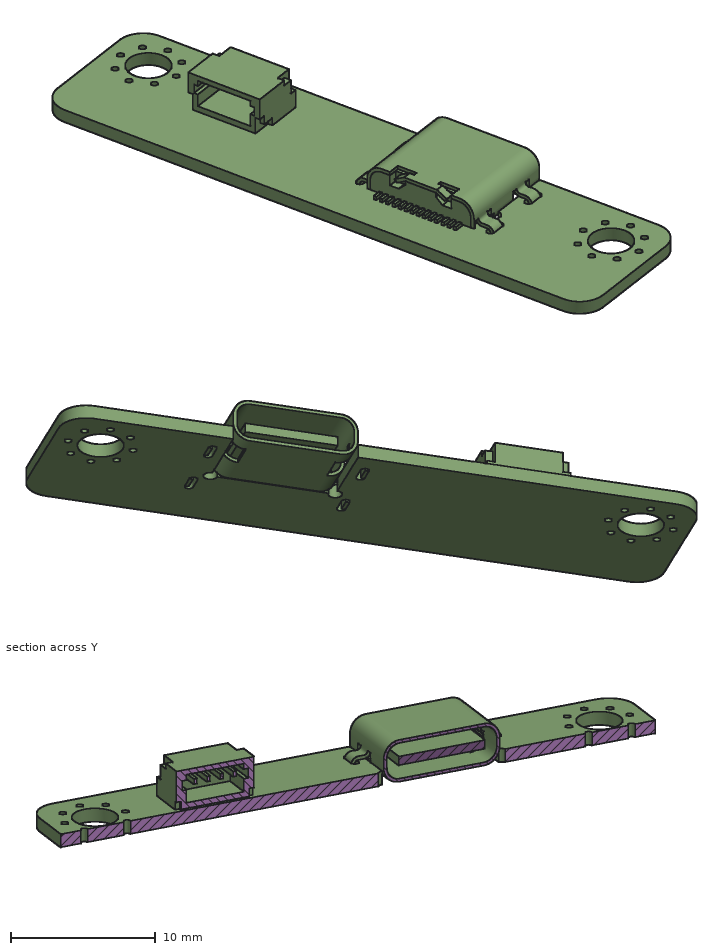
import cadquery as cq
import math

BOARD_LENGTH = 46
BOARD_WIDTH = 11.5
BOARD_THICKNESS = 1.0
BOARD_CORNER_RADIUS = 2.0
BOARD_BACK_Y = BOARD_WIDTH / 2

MOUNT_X = 19.5
MOUNT_Y = 2.2
MOUNT_DIAMETER = 3.2
VIA_COUNT = 8
VIA_DIAMETER = 0.5
VIA_RING_RADIUS = 2.35

USB_X = 6.5
USB_WIDTH = 9.0
USB_LENGTH = 7.9
USB_TOP_Z = 3.2
USB_RADIUS = 1.25
USB_SIDE_HEIGHT = 0.7
USB_HEIGHT = 2 * USB_RADIUS + USB_SIDE_HEIGHT
USB_FRONT_Y = BOARD_BACK_Y - USB_LENGTH
USB_OVERHANG_Z = BOARD_THICKNESS + 0.15
SHEET = 0.28

CUTOUT_DEPTH = 5.47
CUTOUT_FRONT_Y = BOARD_BACK_Y - CUTOUT_DEPTH
RELIEF_DIAMETER = 0.95

LEG_SETBACKS = (2.2, 6.8)
LEG_WIDTH = 1.05
LEG_REACH = 1.3
LEG_TOP_Z = BOARD_THICKNESS + 0.4
LEG_BEND_RADIUS = 0.6
LEG_ROOT_RADIUS = 0.28
SLOT_WIDTH = 0.6
SLOT_LENGTH = LEG_WIDTH + SLOT_WIDTH
LEG_WINDOW_WIDTH = 1.95
LEG_WINDOW_TOP_Z = LEG_TOP_Z + LEG_ROOT_RADIUS

WINDOW_INNER = 1.0
WINDOW_OUTER = 2.58
WINDOW_DEPTH = 0.95
TAB_WIDTH = 0.7
TAB_BEND = 1.4
TAB_UNDERSIDE_BEND = 1.3
TAB_TIP = 2.2
TAB_TIP_Z = 2.75
TAB_UNDERSIDE_TIP = 2.02
TAB_UNDERSIDE_TIP_Z = 2.55
POCKET_SLOPE_TOP_Z = 2.6
POCKET_FLOOR_Z = 2.1
POCKET_FLOOR_INNER = 1.85

TONGUE_WIDTH = 6.65
TONGUE_THICKNESS = 0.7
TONGUE_SETBACK = 1.0

CONTACT_PITCH = 0.5
INNER_CONTACTS_PER_SIDE = 4
OUTER_CONTACTS_PER_SIDE = 3
FIRST_OUTER_CONTACT = 2.35
CONTACT_WIDTH = 0.25
CONTACT_REACH = 0.7
CONTACT_ROOT = 0.28
CONTACT_HEIGHT = 0.28

WIRE_X = -11.05
WIRE_WIDTH = 6.03
WIRE_DEPTH = 4.32
WIRE_BACK_Y = 3.55
WIRE_FRONT_Y = WIRE_BACK_Y - WIRE_DEPTH
WIRE_TOP_Z = 4.05
WIRE_FLOOR_Z = BOARD_THICKNESS + 0.1
MOUTH_WIDTH = 4.4
MOUTH_HEIGHT = 2.05
MOUTH_FLOOR_Z = BOARD_THICKNESS + 0.55
MOUTH_DEPTH = 3.45
GROOVE_DEPTH = 0.3
GROOVE_HEIGHT = 0.7
GROOVE_FLOOR_Z = BOARD_THICKNESS + 1.5

NOTCH_STEP_Y = 0.55
UPPER_NOTCH_WIDTH = 0.55
UPPER_NOTCH_LENGTH = 1.4
UPPER_NOTCH_SHALLOW = 0.4
UPPER_NOTCH_DEEP = 1.5
LOWER_NOTCH_WIDTH = 0.35
LOWER_NOTCH_LENGTH = 1.5
LOWER_NOTCH_SHALLOW = 0.7
LOWER_NOTCH_DEEP = 1.4

PIN_COUNT = 4
PIN_PITCH = 1.0
PIN_WIDTH = 0.255
PIN_HEIGHT = 0.4
PIN_FLOOR_Z = 2.8
PIN_LENGTH = 2.3
TAIL_REACH = 0.65


def block(x_range, y_range, z_range):
    """A box spanning the given (start, end) pairs along X, Y and Z."""
    spans = [sorted(pair) for pair in (x_range, y_range, z_range)]
    sizes = [high - low for low, high in spans]
    return cq.Workplane("XY").box(*sizes, centered=False).translate([low for low, high in spans])


def around(center, size):
    """The (start, end) pair of a span centred on a value."""
    return center - size / 2, center + size / 2


def extrude_along_y(outline, back_y, length):
    """Extrude an XZ outline from back_y toward -Y."""
    return outline.extrude(length).translate((0, back_y, 0))


def xz_polygon(points):
    return cq.Workplane("XZ").polyline(points).close()


def leg_slots():
    centers = [
        (USB_X + side * (USB_WIDTH / 2 + LEG_REACH - SLOT_WIDTH / 2), BOARD_BACK_Y - setback)
        for side in (-1, 1)
        for setback in LEG_SETBACKS
    ]
    slots = cq.Workplane("XY").pushPoints(centers).slot2D(SLOT_LENGTH, SLOT_WIDTH, 90)
    return slots.extrude(BOARD_THICKNESS)


def usb_cutout():
    opening = block(around(USB_X, USB_WIDTH), (CUTOUT_FRONT_Y, BOARD_BACK_Y), (0, BOARD_THICKNESS))
    corners = [(x, CUTOUT_FRONT_Y) for x in around(USB_X, USB_WIDTH)]
    reliefs = cq.Workplane("XY").pushPoints(corners).circle(RELIEF_DIAMETER / 2)
    return opening.union(reliefs.extrude(BOARD_THICKNESS))


def mount_holes():
    mounts = [(x, MOUNT_Y) for x in (-MOUNT_X, MOUNT_X)]
    angles = [2 * math.pi * i / VIA_COUNT for i in range(VIA_COUNT)]
    vias = [
        (x + VIA_RING_RADIUS * math.cos(angle), y + VIA_RING_RADIUS * math.sin(angle))
        for x, y in mounts
        for angle in angles
    ]
    holes = cq.Workplane("XY").pushPoints(mounts).circle(MOUNT_DIAMETER / 2).extrude(BOARD_THICKNESS)
    return holes.union(cq.Workplane("XY").pushPoints(vias).circle(VIA_DIAMETER / 2).extrude(BOARD_THICKNESS))


def make_board():
    blank = cq.Workplane("XY").rect(BOARD_LENGTH, BOARD_WIDTH).extrude(BOARD_THICKNESS)
    blank = blank.edges("|Z").fillet(BOARD_CORNER_RADIUS)
    return blank.cut(mount_holes()).cut(usb_cutout()).cut(leg_slots())


def usb_profile_body(inset):
    """The rounded USB profile shrunk by an inset, without the part that would meet the board."""
    outline = (
        cq.Workplane("XZ")
        .center(USB_X, USB_TOP_Z - USB_HEIGHT / 2)
        .rect(USB_WIDTH - 2 * inset, USB_HEIGHT - 2 * inset)
    )
    body = extrude_along_y(outline, BOARD_BACK_Y, USB_LENGTH)
    body = body.edges("|Y").fillet(USB_RADIUS - inset)
    below_overhang = block(around(USB_X, USB_WIDTH), (USB_FRONT_Y, CUTOUT_FRONT_Y), (0, USB_OVERHANG_Z))
    return body.cut(below_overhang)


def leg(side, center_y):
    """A sheet-metal leg that runs out from the shell wall and bends down into its slot."""
    wall = side * USB_WIDTH / 2
    root = wall - side * SHEET
    tip = wall + side * LEG_REACH
    bend_center = (tip - side * LEG_BEND_RADIUS, LEG_TOP_Z - LEG_BEND_RADIUS)
    root_center = (wall + side * LEG_ROOT_RADIUS, LEG_WINDOW_TOP_Z)
    diagonal = math.sqrt(0.5)

    def on_bend(radius):
        offset = radius * diagonal
        return bend_center[0] + side * offset, bend_center[1] + offset

    def on_root(radius):
        offset = radius * diagonal
        return root_center[0] - side * offset, root_center[1] - offset

    outline = (
        cq.Workplane("XZ")
        .moveTo(root, root_center[1])
        .threePointArc(on_root(LEG_ROOT_RADIUS + SHEET), (root_center[0], LEG_TOP_Z - SHEET))
        .lineTo(bend_center[0], LEG_TOP_Z - SHEET)
        .threePointArc(on_bend(LEG_BEND_RADIUS - SHEET), (tip - side * SHEET, bend_center[1]))
        .lineTo(tip - side * SHEET, 0)
        .lineTo(tip, 0)
        .lineTo(tip, bend_center[1])
        .threePointArc(on_bend(LEG_BEND_RADIUS), (bend_center[0], LEG_TOP_Z))
        .lineTo(root_center[0], LEG_TOP_Z)
        .threePointArc(on_root(LEG_ROOT_RADIUS), (wall, root_center[1]))
        .close()
    )
    return extrude_along_y(outline, center_y + LEG_WIDTH / 2, LEG_WIDTH).translate((USB_X, 0, 0))


def leg_window(side, center_y):
    """The opening left in the lower side wall where a leg was bent out."""
    wall = USB_X + side * USB_WIDTH / 2
    return block((wall, wall - side * LEG_REACH), around(center_y, LEG_WINDOW_WIDTH), (0, LEG_WINDOW_TOP_Z))


def roof_window(side):
    x_range = (USB_X + side * WINDOW_INNER, USB_X + side * WINDOW_OUTER)
    return block(x_range, (USB_FRONT_Y, USB_FRONT_Y + WINDOW_DEPTH), (USB_TOP_Z - SHEET, USB_TOP_Z))


def spring_tab(side):
    """The strip bent down from the inner edge of a roof window."""
    outline = xz_polygon([
        (USB_X + side * WINDOW_INNER, USB_TOP_Z),
        (USB_X + side * TAB_BEND, USB_TOP_Z),
        (USB_X + side * TAB_TIP, TAB_TIP_Z),
        (USB_X + side * TAB_UNDERSIDE_TIP, TAB_UNDERSIDE_TIP_Z),
        (USB_X + side * TAB_UNDERSIDE_BEND, USB_TOP_Z - SHEET),
        (USB_X + side * WINDOW_INNER, USB_TOP_Z - SHEET),
    ])
    return extrude_along_y(outline, USB_FRONT_Y + TAB_WIDTH, TAB_WIDTH)


def tab_pocket(side):
    """The recess in the core that clears a spring tab, with a sloped inner side."""
    outline = xz_polygon([
        (USB_X + side * TAB_UNDERSIDE_BEND, USB_TOP_Z - SHEET),
        (USB_X + side * TAB_UNDERSIDE_BEND, POCKET_SLOPE_TOP_Z),
        (USB_X + side * POCKET_FLOOR_INNER, POCKET_FLOOR_Z),
        (USB_X + side * WINDOW_OUTER, POCKET_FLOOR_Z),
        (USB_X + side * WINDOW_OUTER, USB_TOP_Z - SHEET),
    ])
    return extrude_along_y(outline, USB_FRONT_Y + TAB_WIDTH, TAB_WIDTH)


def make_usb_shell():
    shell = usb_profile_body(0).cut(usb_profile_body(SHEET))
    for side in (-1, 1):
        shell = shell.cut(roof_window(side)).union(spring_tab(side))
        for setback in LEG_SETBACKS:
            leg_y = BOARD_BACK_Y - setback
            shell = shell.cut(leg_window(side, leg_y)).union(leg(side, leg_y))
    return shell


def tongue():
    """The plate that reaches back from the core into the plug space."""
    return block(
        around(USB_X, TONGUE_WIDTH),
        (CUTOUT_FRONT_Y, BOARD_BACK_Y - TONGUE_SETBACK),
        around(USB_TOP_Z - USB_HEIGHT / 2, TONGUE_THICKNESS),
    )


def contact_foot(offset):
    return block(
        around(USB_X + offset, CONTACT_WIDTH),
        (USB_FRONT_Y - CONTACT_REACH, USB_FRONT_Y + CONTACT_ROOT),
        (BOARD_THICKNESS, BOARD_THICKNESS + CONTACT_HEIGHT),
    )


def make_usb_core():
    """The insulator that closes the front of the shell, with its contact tongue and feet."""
    plug_space = block(around(USB_X, USB_WIDTH), (CUTOUT_FRONT_Y, BOARD_BACK_Y), (0, USB_TOP_Z))
    core = usb_profile_body(SHEET).cut(plug_space).union(tongue())
    inner = [CONTACT_PITCH * (i + 0.5) for i in range(INNER_CONTACTS_PER_SIDE)]
    outer = [FIRST_OUTER_CONTACT + CONTACT_PITCH * i for i in range(OUTER_CONTACTS_PER_SIDE)]
    for side in (-1, 1):
        core = core.cut(tab_pocket(side))
        for offset in inner + outer:
            core = core.union(contact_foot(side * offset))
    return core


def mouth():
    """The plug opening in the front face, with a guide groove in each side wall."""
    y_range = (WIRE_FRONT_Y, WIRE_FRONT_Y + MOUTH_DEPTH)
    opening = block(around(WIRE_X, MOUTH_WIDTH), y_range, (MOUTH_FLOOR_Z, MOUTH_FLOOR_Z + MOUTH_HEIGHT))
    grooves = block(
        around(WIRE_X, MOUTH_WIDTH + 2 * GROOVE_DEPTH),
        y_range,
        (GROOVE_FLOOR_Z, GROOVE_FLOOR_Z + GROOVE_HEIGHT),
    )
    return opening.union(grooves)


def stepped_notch(x_range, end_y, inward, start_z, upward, length, shallow, deep):
    """A notch along a housing edge: deep next to the end face, shallow farther in."""
    deep_part = block(x_range, (end_y, end_y + inward * NOTCH_STEP_Y), (start_z, start_z + upward * deep))
    shallow_part = block(x_range, (end_y, end_y + inward * length), (start_z, start_z + upward * shallow))
    return deep_part.union(shallow_part)


def side_notches(side):
    wall = WIRE_X + side * WIRE_WIDTH / 2
    upper = stepped_notch(
        (wall, wall - side * UPPER_NOTCH_WIDTH), WIRE_BACK_Y, -1, WIRE_TOP_Z, -1,
        UPPER_NOTCH_LENGTH, UPPER_NOTCH_SHALLOW, UPPER_NOTCH_DEEP,
    )
    lower = stepped_notch(
        (wall, wall - side * LOWER_NOTCH_WIDTH), WIRE_FRONT_Y, 1, BOARD_THICKNESS, 1,
        LOWER_NOTCH_LENGTH, LOWER_NOTCH_SHALLOW, LOWER_NOTCH_DEEP,
    )
    return upper.union(lower)


def pin(center_x):
    """A contact pin inside the mouth and its solder tail behind the housing."""
    mouth_back_y = WIRE_FRONT_Y + MOUTH_DEPTH
    blade = block(
        around(center_x, PIN_WIDTH),
        (mouth_back_y - PIN_LENGTH, mouth_back_y),
        (PIN_FLOOR_Z, PIN_FLOOR_Z + PIN_HEIGHT),
    )
    tail = block(
        around(center_x, PIN_WIDTH),
        (WIRE_BACK_Y, WIRE_BACK_Y + TAIL_REACH),
        (BOARD_THICKNESS, BOARD_THICKNESS + PIN_WIDTH),
    )
    return blade, tail


def make_wire_connector():
    housing = block(
        around(WIRE_X, WIRE_WIDTH), (WIRE_FRONT_Y, WIRE_BACK_Y), (WIRE_FLOOR_Z, WIRE_TOP_Z)
    )
    housing = housing.cut(mouth())
    for side in (-1, 1):
        housing = housing.cut(side_notches(side))
    for i in range(PIN_COUNT):
        blade, tail = pin(WIRE_X + PIN_PITCH * (i - (PIN_COUNT - 1) / 2))
        housing = housing.union(blade).union(tail)
    return housing


board = make_board()
usb_shell = make_usb_shell()
usb_core = make_usb_core()
wire_connector = make_wire_connector()

result = cq.Compound.makeCompound([
    board.val(),
    usb_shell.val(),
    usb_core.val(),
    wire_connector.val(),
])